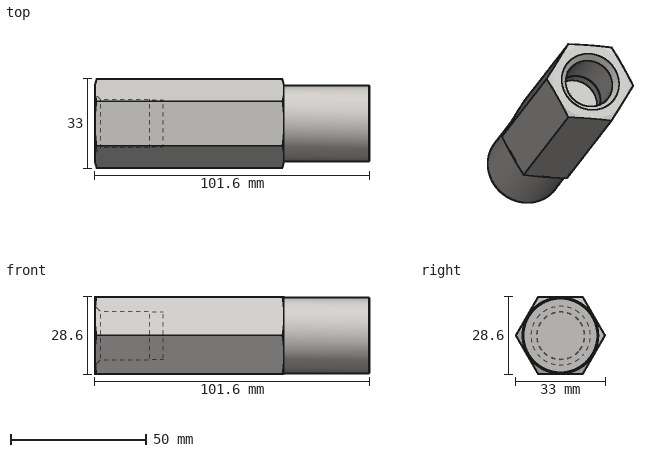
import cadquery as cq
import math

total_length = 101.6
hex_length = 69.85
hex_across_flats = 28.575
hex_across_corners = hex_across_flats / math.cos(math.pi / 6)

corner_chamfer_face_diameter = hex_across_flats
corner_chamfer_angle = math.radians(15)

spigot_diameter = 28.19
spigot_chamfer_length = 0.5
spigot_chamfer_depth = 0.5

bore_diameter = 17.78
bore_depth = 20.0
bore_end_diameter = 17.42
bore_end_depth = 25.0
entry_diameter = 21.85
entry_depth = (entry_diameter - bore_diameter) / 2


def turned(profile):
    """Solid of revolution about X from (x, radius) points that start and end on the axis."""
    return cq.Workplane("XY").polyline(profile).close().revolve(360, (0, 0, 0), (1, 0, 0))


def hexagon_body():
    """Hexagonal bar with flats facing +Z and -Z and chamfered corners."""
    bar = (
        cq.Workplane("YZ")
        .polygon(6, hex_across_corners)
        .extrude(hex_length)
    )
    face_radius = corner_chamfer_face_diameter / 2
    corner_radius = hex_across_corners / 2
    chamfer_length = (corner_radius - face_radius) * math.tan(corner_chamfer_angle)
    envelope = turned([
        (0, 0),
        (0, face_radius),
        (chamfer_length, corner_radius),
        (hex_length - chamfer_length, corner_radius),
        (hex_length, face_radius),
        (hex_length, 0),
    ])
    return bar.intersect(envelope)


def spigot():
    """Round spigot with a chamfered free end, running on from the hexagon."""
    radius = spigot_diameter / 2
    return turned([
        (hex_length, 0),
        (hex_length, radius),
        (total_length - spigot_chamfer_length, radius),
        (total_length, radius - spigot_chamfer_depth),
        (total_length, 0),
    ])


def blind_bore():
    """Stepped, flat-bottomed bore with its conical entry."""
    return turned([
        (0, 0),
        (0, entry_diameter / 2),
        (entry_depth, bore_diameter / 2),
        (bore_depth, bore_diameter / 2),
        (bore_depth, bore_end_diameter / 2),
        (bore_end_depth, bore_end_diameter / 2),
        (bore_end_depth, 0),
    ])


result = hexagon_body().union(spigot()).cut(blind_bore())